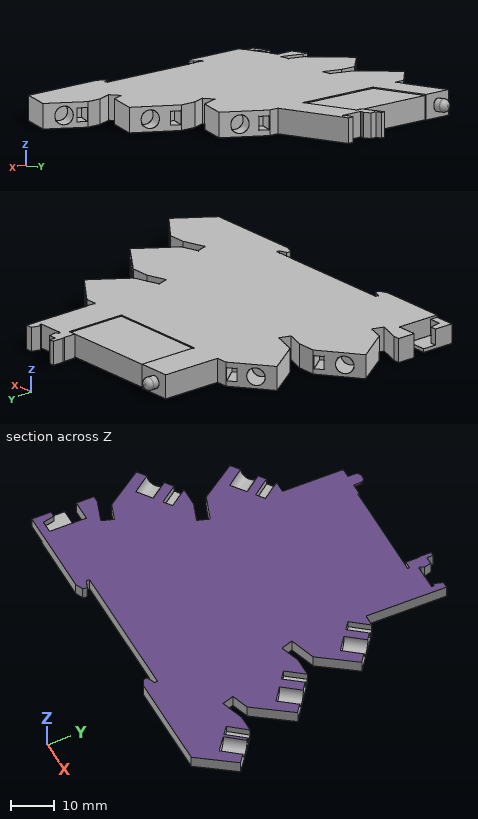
import cadquery as cq
import math

thickness = 6.0
mid_z = thickness / 2
top_y = 77.9

upper_flat_y = 55.7
middle_flat_y = 35.6
lower_flat_y = 16.0
upper_tab = (34.45, 48.3, 24.8, upper_flat_y)
middle_tab = (42.1, 28.15, 32.1, middle_flat_y)
lower_tab = (50.5, 9.4, 42.0, lower_flat_y)
mirrored_tabs = [upper_tab, middle_tab]
tab_underside_slope = math.tan(math.radians(55.2))

slit_inner_ends = [(21.9, 35.4), (31.5, 15.6)]
slit_width = 3.1
slit_length = 11.1
slit_angle = 18.5

neck_half_width = 21.9
neck_top_y = 71.2

arm_left_x = 10.4
arm_top_y = 76.3
arm_lip_width = 1.2
arm_step_depth = 0.2
arm_step_low_y = 74.4
arm_step_high_y = 74.9
recess_left_x = 13.5
recess_right_x = 20.1
recess_floor_y = 73.3
undercut_height = 0.5
left_snap_y = 74.5
left_snap_depth = 0.5
right_snap_y = 74.1
right_snap_depth = 0.65

relay_left_x = -13.4
relay_right_x = 12.5
relay_top_y = 70.85
relay_recess = 0.3

button_x = -17.9
button_radius = 1.6
button_length = 3.0
button_rounding = 1.3

wire_bore_diameter = 4.35
wire_bore_from_tip = 5.0
driver_slot_width = 2.4
driver_slot_height = 3.2
driver_slot_from_corner = 0.2
opening_depth = 5.6

rail_center_x = 1.3
rail_half_width = 17.7
rail_depth = 3.5
lip_size = 2.0
lip_top_y = 2.8
lip_nose_bottom_y = 0.8
lip_nose_top_y = 2.1
lip_nose_bulge = 0.3

stub_left_x = -39.45
stub_bottom_y = 11.4
corner_x = -34.2
latch_top_y = 8.5
latch_inset = 0.6
latch_base_thickness = 0.9
latch_wall_top_y = 5.0
latch_wall_width = 1.6
latch_wall_foot_width = 2.2
latch_rail_height = 2.0


def polygon_plate(points, bottom=0.0, height=thickness):
    return cq.Workplane("XY").workplane(offset=bottom).polyline(points).close().extrude(height)


def box(left, right, low, high, bottom=0.0, height=thickness):
    corners = [(left, low), (right, low), (right, high), (left, high)]
    return polygon_plate(corners, bottom, height)


def mirrored(shape):
    return shape.mirror("YZ")


def tab(dimensions, foot_y):
    """Right-hand tab from the symmetry axis out to its tip and down to foot_y."""
    tip_x, tip_y, flat_end_x, flat_y = dimensions
    foot_x = tip_x - (tip_y - foot_y) / tab_underside_slope
    return polygon_plate([(0, flat_y), (flat_end_x, flat_y), (tip_x, tip_y), (foot_x, foot_y), (0, foot_y)])


def slit(inner_end):
    cut = cq.Workplane("XY").rect(slit_length, slit_width).extrude(thickness)
    cut = cut.translate((slit_length / 2, 0, 0)).rotate((0, 0, 0), (0, 0, 1), slit_angle)
    return cut.translate((*inner_end, 0))


def wire_openings(dimensions):
    """Round wire bore and rectangular driver slot, sunk square to the tab's slanted face."""
    tip_x, tip_y, flat_end_x, flat_y = dimensions
    face_length = math.hypot(tip_x - flat_end_x, flat_y - tip_y)
    along_x = (flat_end_x - tip_x) / face_length
    along_y = (flat_y - tip_y) / face_length
    face = cq.Plane(origin=(tip_x, tip_y, mid_z), xDir=(along_x, along_y, 0), normal=(along_y, -along_x, 0))
    slot_center = face_length - driver_slot_from_corner - driver_slot_width / 2
    bore = cq.Workplane(face).center(wire_bore_from_tip, 0).circle(wire_bore_diameter / 2)
    slot = cq.Workplane(face).center(slot_center, 0).rect(driver_slot_width, driver_slot_height)
    return bore.extrude(-opening_depth).union(slot.extrude(-opening_depth))


def marker_arm():
    lip_right_x = arm_left_x + arm_lip_width
    return polygon_plate([
        (arm_left_x + arm_step_depth, neck_top_y),
        (arm_left_x + arm_step_depth, arm_step_low_y),
        (arm_left_x, arm_step_high_y),
        (arm_left_x, top_y),
        (lip_right_x, top_y),
        (lip_right_x, arm_top_y),
        (recess_left_x, arm_top_y),
        (recess_left_x + left_snap_depth, left_snap_y),
        (recess_left_x, recess_floor_y + undercut_height),
        (recess_left_x, recess_floor_y),
        (recess_right_x, recess_floor_y),
        (recess_right_x, recess_floor_y + undercut_height),
        (recess_right_x - right_snap_depth, right_snap_y),
        (recess_right_x, arm_top_y),
        (neck_half_width, arm_top_y),
        (neck_half_width, neck_top_y),
    ])


def button():
    """Round pin with a rounded end, rooted one radius deep in the neck."""
    root_y = neck_top_y - button_radius
    end_plane = cq.Plane(origin=(button_x, root_y, mid_z), xDir=(1, 0, 0), normal=(0, 1, 0))
    pin = cq.Workplane(end_plane).circle(button_radius).extrude(button_radius + button_length)
    return pin.faces(">Y").edges().fillet(button_rounding)


def rail_recess():
    """Flat-bottomed recess narrowed at its mouth by two round-nosed lips."""
    nose_tip_x = rail_half_width - lip_size
    nose_base_x = nose_tip_x + lip_nose_bulge
    nose_tip_y = (lip_nose_bottom_y + lip_nose_top_y) / 2
    recess = (
        cq.Workplane("XY")
        .moveTo(rail_half_width, 0)
        .lineTo(nose_base_x, lip_nose_bottom_y)
        .threePointArc((nose_tip_x, nose_tip_y), (nose_base_x, lip_nose_top_y))
        .lineTo(rail_half_width, lip_top_y)
        .lineTo(rail_half_width, rail_depth)
        .lineTo(-rail_half_width, rail_depth)
        .lineTo(-rail_half_width, lip_top_y)
        .lineTo(-nose_base_x, lip_nose_top_y)
        .threePointArc((-nose_tip_x, nose_tip_y), (-nose_base_x, lip_nose_bottom_y))
        .lineTo(-rail_half_width, 0)
        .close()
    )
    return recess.extrude(thickness).translate((rail_center_x, 0, 0))


def foot_latch():
    """Thin base carrying an L-shaped upright wall, inset from both plate faces."""
    base = box(stub_left_x, corner_x, 0, latch_top_y, latch_inset, latch_base_thickness)
    wall = polygon_plate(
        [
            (stub_left_x, 0),
            (corner_x, 0),
            (corner_x, latch_rail_height),
            (stub_left_x + latch_wall_foot_width, latch_rail_height),
            (stub_left_x + latch_wall_width, latch_wall_top_y),
            (stub_left_x, latch_wall_top_y),
        ],
        latch_inset,
        thickness - 2 * latch_inset,
    )
    return base.union(wall)


upper_right = tab(upper_tab, middle_flat_y)
middle_right = tab(middle_tab, lower_flat_y)
body = tab(lower_tab, 0)
for half in (upper_right, middle_right):
    body = body.union(half).union(mirrored(half))
body = body.union(box(corner_x, 0, 0, lower_flat_y))
body = body.union(box(stub_left_x, 0, stub_bottom_y, lower_flat_y))
body = body.union(box(-neck_half_width, neck_half_width, upper_flat_y, neck_top_y))
body = body.union(marker_arm())

body = body.cut(box(relay_left_x, relay_right_x, relay_top_y, neck_top_y))
body = body.cut(
    box(relay_left_x, relay_right_x, upper_flat_y, relay_top_y, thickness - relay_recess, relay_recess)
)

for inner_end in slit_inner_ends:
    body = body.cut(slit(inner_end)).cut(mirrored(slit(inner_end)))
for dimensions in mirrored_tabs:
    body = body.cut(wire_openings(dimensions)).cut(mirrored(wire_openings(dimensions)))
body = body.cut(wire_openings(lower_tab))

body = body.cut(rail_recess())
body = body.union(foot_latch())
result = body.union(button())